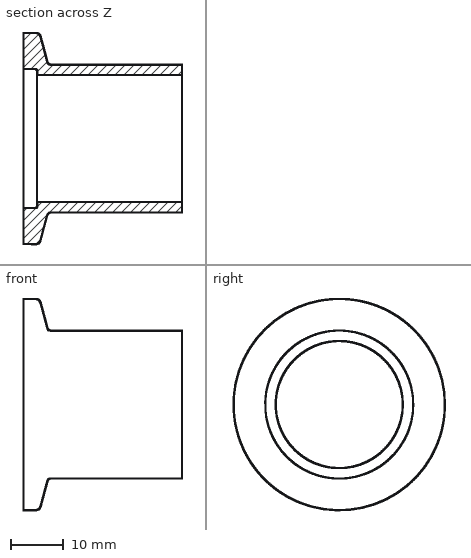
import cadquery as cq
import math

length = 30.0
flange_radius = 20.0
tube_radius = 14.0
bore_radius = 12.0
recess_radius = 13.1
recess_depth = 2.6
recess_corner_radius = 0.3
cone_angle = math.radians(15)
cone_edge_x = 3.1
rim_fillet = 1.0
neck_fillet = 0.6

cone_end_x = cone_edge_x + (flange_radius - tube_radius) * math.tan(cone_angle)


def revolve_about_x(profile):
    return profile.close().revolve(360, (0, 0, 0), (1, 0, 0))


def fillet_circle(body, x, radius, fillet_radius):
    """Round the circular edge at the given axial position and radius."""
    margin = 0.05
    outer = radius + margin
    edge = cq.selectors.BoxSelector(
        (x - margin, -outer, -outer), (x + margin, outer, outer), boundingbox=True
    )
    return body.edges(edge).edges("%CIRCLE").fillet(fillet_radius)


body = revolve_about_x(
    cq.Workplane("XY")
    .moveTo(0, 0)
    .lineTo(0, flange_radius)
    .lineTo(cone_edge_x, flange_radius)
    .lineTo(cone_end_x, tube_radius)
    .lineTo(length, tube_radius)
    .lineTo(length, 0)
)
body = fillet_circle(body, cone_edge_x, flange_radius, rim_fillet)
body = fillet_circle(body, cone_end_x, tube_radius, neck_fillet)

bore = cq.Workplane("YZ").circle(bore_radius).extrude(length)
recess = cq.Workplane("YZ").circle(recess_radius).extrude(recess_depth)
recess = recess.faces(">X").edges().fillet(recess_corner_radius)

result = body.cut(bore).cut(recess)